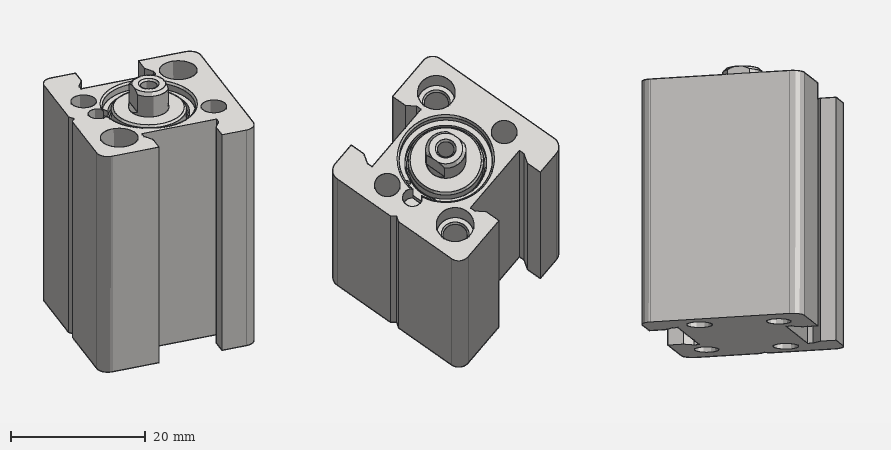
import cadquery as cq
import math

side = 25.0
half_side = side / 2
housing_height = 37.0
corner_radius = 1.8

channel_offset = 1.8
channel_floor_x = 7.85
channel_taper_start_x = 10.1
channel_taper_end_x = 8.7
channel_mouth_half = 5.02
channel_floor_half = 5.95

vee_half_width = 0.75
vee_depth = 0.55

mount_offset = 7.75
mount_counterbore_diameter = 5.6
mount_counterbore_depth = 3.5
mount_mouth_diameter = 4.15
mount_hole_diameter = 3.6

plain_hole_x = 4.2
plain_hole_y = 8.75
plain_hole_diameter = 3.8

recess_diameter = 13.85
recess_mouth_diameter = 14.45
boss_diameter = 11.2
boss_chamfer = 0.32
boss_top = housing_height - 0.53
ring_top = housing_height - 1.3
ring_thickness = 1.0
recess_floor = ring_top - ring_thickness
relief_diameter = 11.65

notch_diameter = 2.9
notch_center_y = -8.1
notch_depth = 3.25

ring_inner_diameter = 12.15
ring_gap_apex_y = -4.4
ring_gap_half_angle = 61

rod_diameter = 6.0
rod_top = 40.5
rod_bottom = 20.25
rod_chamfer = 0.5
rod_across_flats = 4.95
rod_hole_diameter = 2.47
rod_hole_mouth_diameter = 3.08
rod_hole_depth = 6.08


def cylinder(diameter, bottom, top):
    return cq.Workplane("XY").workplane(offset=bottom).circle(diameter / 2).extrude(top - bottom)


def mouth_cone(mouth_diameter, hole_diameter, top):
    """45 degree countersink that narrows downward from the mouth to the hole."""
    mouth_radius = mouth_diameter / 2
    hole_radius = hole_diameter / 2
    depth = mouth_radius - hole_radius
    profile = [(0, top), (mouth_radius, top), (hole_radius, top - depth), (0, top - depth)]
    return cq.Workplane("XZ").polyline(profile).close().revolve(360, (0, 0, 0), (0, 1, 0))


def side_channel(direction):
    """Channel in the +X (direction 1) or -X (direction -1) side."""
    half_profile = [
        (half_side, channel_mouth_half),
        (channel_taper_start_x, channel_mouth_half),
        (channel_taper_end_x, channel_floor_half),
        (channel_floor_x, channel_floor_half),
    ]
    profile = half_profile + [(x, -y) for x, y in reversed(half_profile)]
    points = [(direction * x, direction * channel_offset + y) for x, y in profile]
    return cq.Workplane("XY").polyline(points).close().extrude(housing_height)


def vee_groove():
    points = [
        (-vee_half_width, -half_side),
        (0, -half_side + vee_depth),
        (vee_half_width, -half_side),
    ]
    return cq.Workplane("XY").polyline(points).close().extrude(housing_height)


def mounting_hole():
    shoulder = housing_height - mount_counterbore_depth
    hole = cylinder(mount_hole_diameter, 0, housing_height)
    counterbore = cylinder(mount_counterbore_diameter, shoulder, housing_height)
    return hole.union(counterbore).union(mouth_cone(mount_mouth_diameter, mount_hole_diameter, shoulder))


def boss_recess():
    """Material removed around the boss, with a narrow sloped relief at its foot."""
    pocket = cylinder(recess_diameter, recess_floor, housing_height)
    pocket = pocket.union(mouth_cone(recess_mouth_diameter, recess_diameter, housing_height))
    relief = mouth_cone(relief_diameter, boss_diameter, recess_floor)
    pocket = pocket.union(relief)
    boss_bottom = recess_floor - (relief_diameter - boss_diameter) / 2
    boss = cylinder(boss_diameter, boss_bottom, boss_top).faces(">Z").chamfer(boss_chamfer)
    return pocket.cut(boss)


def notch():
    """Blind round hole that breaks into the recess wall and is deeper than the recess."""
    bottom = housing_height - notch_depth
    hole = cylinder(notch_diameter, bottom, housing_height).translate((0, notch_center_y, 0))
    return hole.cut(cylinder(recess_diameter, bottom, housing_height))


def make_housing():
    body = cq.Workplane("XY").rect(side, side).extrude(housing_height)
    body = body.edges("|Z").fillet(corner_radius).cut(vee_groove())
    for direction in (1, -1):
        body = body.cut(side_channel(direction))
        body = body.cut(mounting_hole().translate((direction * mount_offset, -direction * mount_offset, 0)))
        plain_hole = cylinder(plain_hole_diameter, 0, housing_height)
        body = body.cut(plain_hole.translate((direction * plain_hole_x, direction * plain_hole_y, 0)))
    body = body.cut(boss_recess().union(notch()))
    return body.cut(cylinder(rod_diameter, rod_bottom, housing_height))


def make_retaining_ring():
    """Flat ring with a wedge-shaped gap centred on -Y."""
    ring = cylinder(recess_diameter, recess_floor, ring_top)
    ring = ring.cut(cylinder(ring_inner_diameter, recess_floor, ring_top))
    reach = recess_diameter
    half_opening = (reach + ring_gap_apex_y) * math.tan(math.radians(ring_gap_half_angle))
    wedge = [(0, ring_gap_apex_y), (half_opening, -reach), (-half_opening, -reach)]
    gap = cq.Workplane("XY").workplane(offset=recess_floor).polyline(wedge).close().extrude(ring_thickness)
    return ring.cut(gap)


def rod_flat(direction):
    """Cut for the flat on the +Y or -Y side; its lower end slopes at 45 degrees to the boss top."""
    flat_y = rod_across_flats / 2
    outer_y = rod_diameter / 2
    slope_height = outer_y - flat_y
    points = [
        (direction * flat_y, rod_top),
        (direction * flat_y, boss_top + slope_height),
        (direction * outer_y, boss_top),
        (direction * outer_y, rod_top),
    ]
    return cq.Workplane("YZ").polyline(points).close().extrude(rod_diameter / 2, both=True)


def make_rod():
    rod = cylinder(rod_diameter, rod_bottom, rod_top).faces(">Z").chamfer(rod_chamfer)
    for direction in (1, -1):
        rod = rod.cut(rod_flat(direction))
    rod = rod.cut(cylinder(rod_hole_diameter, rod_top - rod_hole_depth, rod_top))
    return rod.cut(mouth_cone(rod_hole_mouth_diameter, rod_hole_diameter, rod_top))


housing = make_housing()
retaining_ring = make_retaining_ring()
rod = make_rod()

result = cq.Compound.makeCompound([housing.val(), retaining_ring.val(), rod.val()])